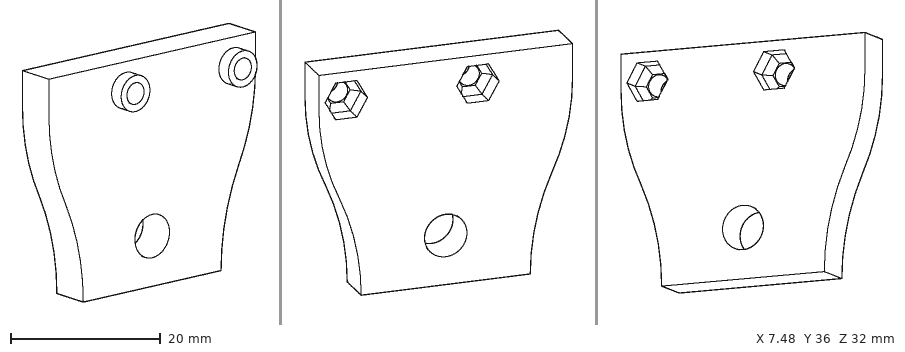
import cadquery as cq

plate_thickness = 5.5
top_width = 36.0
bottom_width = 24.0
height = 32.0
shoulder_height = 27.0
upper_radius = 30.0
inflection_height = 14.0

hole_diameter = 6.0
hole_height = 7.0

boss_diameter = 5.0
boss_length = 1.98
screw_diameter = 3.0
screw_edge_distance = 4.0
screw_height = height - screw_edge_distance
first_screw_y = 14.1
screw_count = 2
screw_spacing = 18.7
screw_positions = [(first_screw_y - i * screw_spacing, screw_height) for i in range(screw_count)]

nut_corners = 6.0
taper_end_corners = 3.67
nut_depth = 2.6
taper_length = 1.0


def arc_from_vertical(half_width, start_height, end_height, radius, inward):
    """Middle and end points of an arc that leaves a vertical tangent."""
    def point(z):
        drop = z - start_height
        offset = radius - (radius**2 - drop**2) ** 0.5
        return (half_width - inward * offset, z)
    return point((start_height + end_height) / 2), point(end_height)


def make_plate():
    upper_middle, inflection = arc_from_vertical(
        top_width / 2, shoulder_height, inflection_height, upper_radius, 1)
    flare = inflection[0] - bottom_width / 2
    lower_radius = (inflection_height**2 + flare**2) / (2 * flare)
    lower_middle, _ = arc_from_vertical(bottom_width / 2, 0, inflection_height, lower_radius, -1)
    half = (
        cq.Workplane("YZ")
        .moveTo(0, height)
        .lineTo(top_width / 2, height)
        .lineTo(top_width / 2, shoulder_height)
        .threePointArc(upper_middle, inflection)
        .threePointArc(lower_middle, (bottom_width / 2, 0))
        .lineTo(0, 0)
        .close()
        .extrude(plate_thickness)
    )
    return half.union(half.mirror("XZ")).clean()


def make_nut_recesses():
    recesses = cq.Workplane("YZ")
    for position in screw_positions:
        pocket = cq.Workplane("YZ").center(*position).polygon(6, nut_corners).extrude(nut_depth)
        taper = (
            cq.Workplane("YZ", origin=(nut_depth, 0, 0))
            .center(*position)
            .polygon(6, nut_corners)
            .workplane(offset=taper_length)
            .polygon(6, taper_end_corners)
            .loft(ruled=True)
        )
        recesses = recesses.add(pocket.union(taper))
    return recesses.combine()


bosses = (
    cq.Workplane("YZ", origin=(plate_thickness, 0, 0))
    .pushPoints(screw_positions)
    .circle(boss_diameter / 2)
    .extrude(boss_length)
)
screw_holes = (
    cq.Workplane("YZ")
    .pushPoints(screw_positions)
    .circle(screw_diameter / 2)
    .extrude(plate_thickness + boss_length)
)
large_hole = (
    cq.Workplane("YZ")
    .center(0, hole_height)
    .circle(hole_diameter / 2)
    .extrude(plate_thickness)
)

result = make_plate().union(bosses).cut(large_hole).cut(screw_holes).cut(make_nut_recesses())